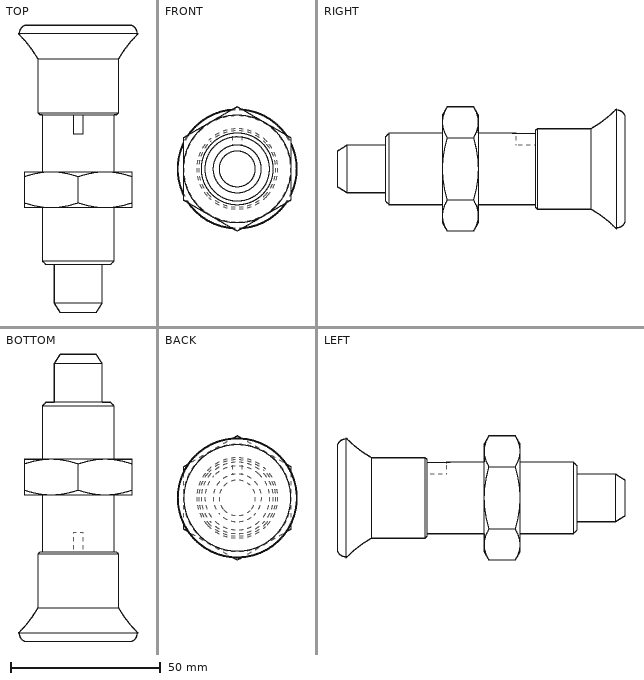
import cadquery as cq
import math

total_length = 96

pin_radius = 16.0 / 2
pin_tip_radius = 12.0 / 2
pin_taper_length = 3.2

body_radius = 24 / 2
body_start = 16.0
body_chamfer = 1.2

nut_across_flats = 36.0
nut_start = 35.0
nut_thickness = 12.0
nut_chamfer_angle = 30

sleeve_radius = 27.0 / 2
sleeve_start = 66.0
sleeve_chamfer = 0.7

knob_radius = 40.0 / 2
knob_flare_start = 84.7
knob_flare_hollow = 0.4
rim_thickness = 2.9
rim_step = 0.3
rim_inset = 1.9

slot_width = 3.3
slot_length = 6.4
slot_depth = 4.0


def make_turned_parts():
    """Pin, threaded body, sleeve and flared knob as one revolved profile."""
    rim_start = total_length - rim_thickness
    rim_radius = knob_radius - rim_step

    flare_rise = knob_radius - sleeve_radius
    flare_run = rim_start - knob_flare_start
    flare_chord = math.hypot(flare_rise, flare_run)
    flare_middle = (
        (sleeve_radius + knob_radius) / 2 - knob_flare_hollow * flare_run / flare_chord,
        (knob_flare_start + rim_start) / 2 + knob_flare_hollow * flare_rise / flare_chord,
    )

    rim_arc_radius = (rim_thickness**2 + rim_inset**2) / (2 * rim_inset)
    half_sweep = math.asin(rim_thickness / rim_arc_radius) / 2
    rim_middle = (
        rim_radius - rim_arc_radius * (1 - math.cos(half_sweep)),
        rim_start + rim_arc_radius * math.sin(half_sweep),
    )

    profile = (
        cq.Workplane("XY")
        .moveTo(0, 0)
        .lineTo(pin_tip_radius, 0)
        .lineTo(pin_radius, pin_taper_length)
        .lineTo(pin_radius, body_start)
        .lineTo(body_radius - body_chamfer, body_start)
        .lineTo(body_radius, body_start + body_chamfer)
        .lineTo(body_radius, sleeve_start)
        .lineTo(sleeve_radius - sleeve_chamfer, sleeve_start)
        .lineTo(sleeve_radius, sleeve_start + sleeve_chamfer)
        .lineTo(sleeve_radius, knob_flare_start)
        .threePointArc(flare_middle, (knob_radius, rim_start))
        .lineTo(rim_radius, rim_start)
        .threePointArc(rim_middle, (rim_radius - rim_inset, total_length))
        .lineTo(0, total_length)
        .close()
    )
    return profile.revolve(360, (0, 0), (0, 1))


def make_nut():
    """Hexagon nut with corners toward +Z and -Z, chamfered on both faces."""
    nut_end = nut_start + nut_thickness
    face_radius = nut_across_flats / 2
    corner_radius = face_radius / math.cos(math.pi / 6)
    corner_drop = (corner_radius - face_radius) * math.tan(math.radians(nut_chamfer_angle))

    corners = []
    for corner in range(6):
        angle = math.radians(90 + 60 * corner)
        corners.append((corner_radius * math.cos(angle), corner_radius * math.sin(angle)))
    hexagon = (
        cq.Workplane("XZ", origin=(0, nut_start, 0))
        .polyline(corners)
        .close()
        .extrude(-nut_thickness)
    )

    envelope = (
        cq.Workplane("XY")
        .moveTo(0, nut_start)
        .lineTo(face_radius, nut_start)
        .lineTo(corner_radius, nut_start + corner_drop)
        .lineTo(corner_radius, nut_end - corner_drop)
        .lineTo(face_radius, nut_end)
        .lineTo(0, nut_end)
        .close()
        .revolve(360, (0, 0), (0, 1))
    )
    return hexagon.intersect(envelope)


def make_slot():
    """Cutter for the guide slot on top of the body, ending at the sleeve face."""
    slot_floor = body_radius - slot_depth
    return cq.Workplane("XY").box(
        slot_width, slot_length, sleeve_radius - slot_floor, centered=(True, False, False)
    ).translate((0, sleeve_start - slot_length, slot_floor))


result = make_turned_parts().union(make_nut()).cut(make_slot())